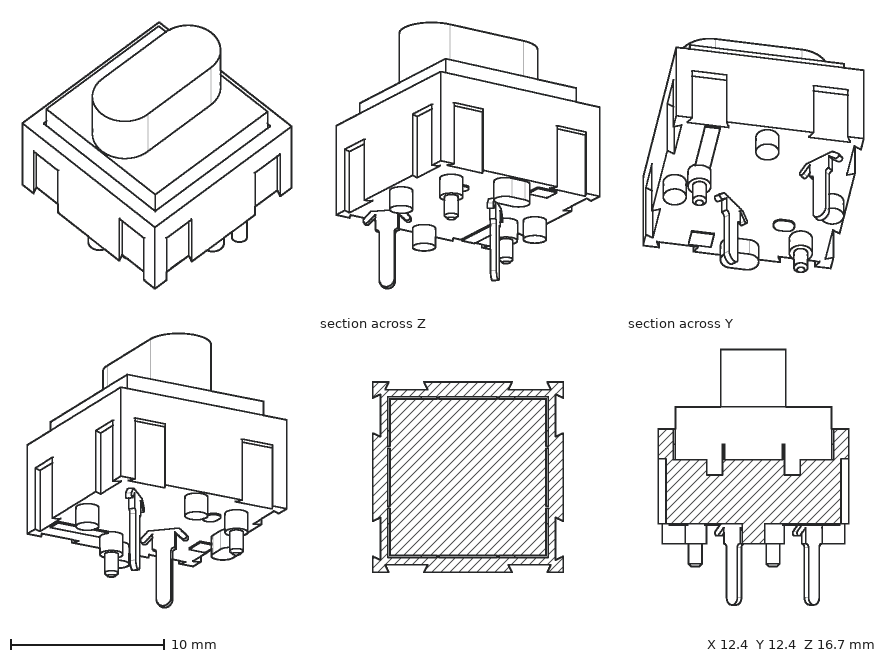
import cadquery as cq
import math

housing_size = 12.45
housing_height = 6.2
half_housing = housing_size / 2

cap_size = 10.22
cap_height = 1.45
plunger_width = 4.25
plunger_length = 10.0
plunger_height = 3.75
plunger_center = (-0.015, -0.03)

groove_width = 0.13
groove_depth = 2.0
rib_inner_offset = 1.885
rib_width = 0.15
rib_drop = 1.0
recess_end_offset = 3.05
recess_extra_depth = 1.0

pocket_height = 4.25
pocket_depth = 0.5
pocket_mouth_width = 2.28
pocket_undercut = 0.24
pocket_offset = 4.025

standoff_diameter = 1.5
standoff_height = 1.3
standoff_offset = 5.225
key_standoff_length = 2.52
peg_diameter = 0.9
peg_length = 2.8
peg_tip_chamfer = 0.2
grid = 1.27
peg_positions = [(-3 * grid, 3 * grid), (grid, -3 * grid)]

terminal_length = 5.3
terminal_width = 1.0
terminal_thickness = 0.4
shoulder_width = 1.5
shoulder_drop = 1.3
shoulder_fillet = 0.24
barb_width = 0.38
barb_tip_reach = 1.38
barb_tip_drop = 0.6
barb_root_rise = 0.1
terminals = [(-grid, -grid, -45), (3 * grid, 3 * grid, 45)]

pad_thickness = 0.1
square_pads = [(-5.5, -4.29, -3.34, -1.85), (1.84, 5.62, -4.2, -3.2)]
round_pad_width = 0.96
round_pad_length = 1.4
round_pad_center = (-2.7, 2.5)


def block(x_min, x_max, y_min, y_max, z_min, z_max):
    """Box given by its limits along the three axes."""
    box = cq.Workplane("XY").box(x_max - x_min, y_max - y_min, z_max - z_min, centered=False)
    return box.translate((x_min, y_min, z_min))


def around_sides(shape):
    """The shape repeated on the four sides of the housing."""
    copies = shape
    for angle in (90, 180, 270):
        copies = copies.union(shape.rotate((0, 0, 0), (0, 0, 1), angle))
    return copies


def side_pockets():
    """Two dovetail pockets on the -Y side, open at the bottom and wider inside."""
    half_mouth = pocket_mouth_width / 2
    half_floor = half_mouth + pocket_undercut
    mouth_y = -half_housing
    floor_y = mouth_y + pocket_depth
    pocket = (
        cq.Workplane("XY")
        .polyline([
            (-half_mouth, mouth_y),
            (half_mouth, mouth_y),
            (half_floor, floor_y),
            (-half_floor, floor_y),
        ])
        .close()
        .extrude(pocket_height)
    )
    return pocket.translate((-pocket_offset, 0, 0)).union(pocket.translate((pocket_offset, 0, 0)))


def cap_groove():
    """Square groove round the cap, with a rib and a deeper recess on each half of every side."""
    inner = cap_size / 2
    outer = inner + groove_width
    floor_z = housing_height - groove_depth
    groove = block(-outer, outer, -outer, outer, floor_z, housing_height).cut(
        block(-inner, inner, -inner, inner, floor_z, housing_height)
    )
    rib_end = rib_inner_offset + rib_width
    rib = block(rib_inner_offset, rib_end, -outer, -inner, floor_z, housing_height - rib_drop)
    recess = block(rib_end, recess_end_offset, -outer, -inner, floor_z - recess_extra_depth, floor_z)
    ribs = around_sides(rib.union(rib.mirror("YZ")))
    recesses = around_sides(recess.union(recess.mirror("YZ")))
    return groove.cut(ribs).union(recesses)


def housing():
    body = block(-half_housing, half_housing, -half_housing, half_housing, 0, housing_height)
    return body.cut(around_sides(side_pockets())).cut(cap_groove())


def cap_and_plunger():
    cap = cq.Workplane("XY").workplane(offset=housing_height).rect(cap_size, cap_size).extrude(cap_height)
    plunger = (
        cq.Workplane("XY")
        .workplane(offset=housing_height + cap_height)
        .center(*plunger_center)
        .slot2D(plunger_length, plunger_width, 90)
        .extrude(plunger_height)
    )
    return cap.union(plunger)


def standoffs():
    """Round standoffs on three sides and under the pegs, and a long one on the -X side."""
    side_positions = [(standoff_offset, 0), (0, standoff_offset), (0, -standoff_offset)]
    round_ones = (
        cq.Workplane("XY")
        .pushPoints(side_positions + peg_positions)
        .circle(standoff_diameter / 2)
        .extrude(-standoff_height)
    )
    key = (
        cq.Workplane("XY")
        .center(-standoff_offset, 0)
        .slot2D(key_standoff_length, standoff_diameter, 90)
        .extrude(-standoff_height)
    )
    return round_ones.union(key)


def pegs():
    return (
        cq.Workplane("XY")
        .pushPoints(peg_positions)
        .circle(peg_diameter / 2)
        .extrude(-peg_length)
        .faces("<Z")
        .chamfer(peg_tip_chamfer)
    )


def barb():
    """Round-ended bar sloping down and outward from one edge of a terminal."""
    slope = math.radians(45)
    root_reach = barb_tip_reach - (barb_tip_drop + barb_root_rise) / math.tan(slope)
    length = math.hypot(barb_tip_reach - root_reach, barb_tip_drop + barb_root_rise) + barb_width
    middle = ((root_reach + barb_tip_reach) / 2, (barb_root_rise - barb_tip_drop) / 2)
    return (
        cq.Workplane("XZ")
        .center(*middle)
        .slot2D(length, barb_width, -math.degrees(slope))
        .extrude(terminal_thickness / 2, both=True)
    )


def terminal():
    """Flat blade in the XZ plane with a wide shoulder, a round tip and a barb on each edge."""
    half_width = terminal_width / 2
    half_shoulder = shoulder_width / 2
    neck_x = half_width + shoulder_fillet
    fillet_end_z = -shoulder_drop - shoulder_fillet
    tip_center_z = half_width - terminal_length
    blade = (
        cq.Workplane("XZ")
        .moveTo(-half_shoulder, 0)
        .lineTo(half_shoulder, 0)
        .lineTo(half_shoulder, -shoulder_drop)
        .lineTo(neck_x, -shoulder_drop)
        .radiusArc((half_width, fillet_end_z), -shoulder_fillet)
        .lineTo(half_width, tip_center_z)
        .threePointArc((0, -terminal_length), (-half_width, tip_center_z))
        .lineTo(-half_width, fillet_end_z)
        .radiusArc((-neck_x, -shoulder_drop), -shoulder_fillet)
        .lineTo(-half_shoulder, -shoulder_drop)
        .close()
        .extrude(terminal_thickness / 2, both=True)
    )
    return blade.union(barb()).union(barb().mirror("YZ"))


def pads():
    """Thin raised pads on the underside of the housing."""
    raised = (
        cq.Workplane("XY")
        .center(*round_pad_center)
        .slot2D(round_pad_length, round_pad_width, 90)
        .extrude(-pad_thickness)
    )
    for limits in square_pads:
        raised = raised.union(block(*limits, -pad_thickness, 0))
    return raised


result = housing().union(cap_and_plunger()).union(standoffs()).union(pegs()).union(pads())
for x, y, angle in terminals:
    result = result.union(terminal().rotate((0, 0, 0), (0, 0, 1), angle).translate((x, y, 0)))